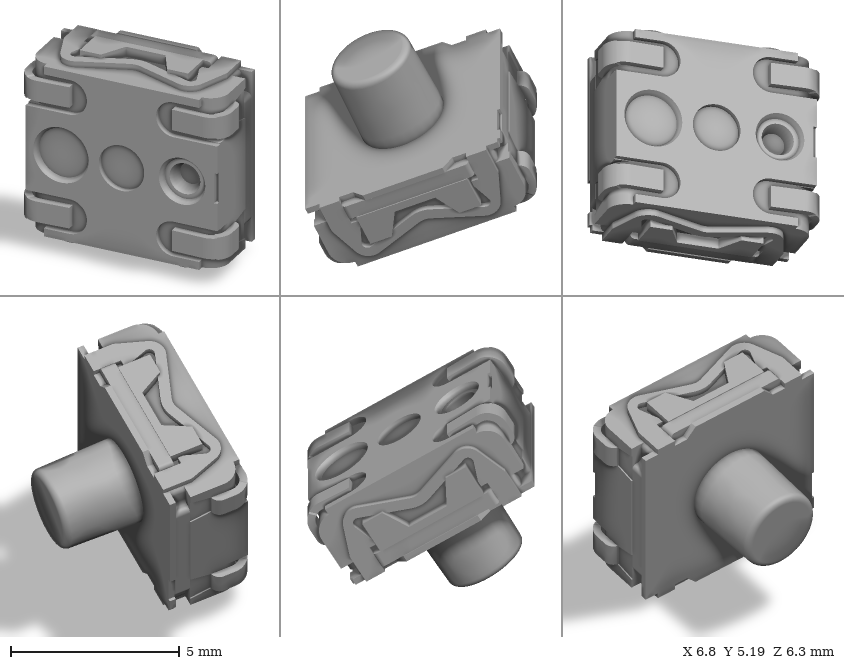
import cadquery as cq
import math


HALF_X = 3.16
HALF_Z = 2.815
STEP_Y = 1.9
DECK_Y = 2.37
DECK_HALF_X = 3.135
DECK_SHOULDER_HALF_X = 2.8
DECK_SIDE_HALF_Z = 2.13
DECK_BAR_HALF_X = 2.04
DECK_BAR_HALF_Z = 3.115
DECK_CORNER_RADIUS = 0.17
DECK_INNER_CORNER_RADIUS = 0.14
DECK_BAR_CORNER_RADIUS = 0.135

BOSS_HALF_X = 1.79
BOSS_HALF_Z = 3.15
BOSS_BACK_Y = 0.84
BOSS_NOTCH_Y = 1.645
BOSS_NOTCH_TOP_HALF_X = 0.65
BOSS_NOTCH_BASE_HALF_X = 1.095

POCKET_X = 2.0
LOCATING_DIAMETER = 1.83
LOCATING_FLOOR_DIAMETER = 1.62
CENTRE_DIAMETER = 1.5
STEPPED_DIAMETER = 1.54
STEPPED_FLOOR_DIAMETER = 1.32
CORE_DIAMETER = 1.01
CORE_FLOOR_DIAMETER = 0.715
POCKET_DEPTH = 0.2
CORE_DEPTH = 0.42

EDGE_NOTCH_HALF_Z = 0.495
EDGE_NOTCH_X = 3.06
EDGE_NOTCH_DEPTH = 0.205
EDGE_NOTCH_LIP = 0.1

TERMINAL_Z = 2.0
TERMINAL_WIDTH = 0.74
FOOT_WIDTH = 0.68
TERMINAL_THICKNESS = 0.24
TERMINAL_OUTER_X = 3.4
UPPER_BEND_RADIUS = 0.31
UPPER_BEND_Y = 0.91
LOWER_BEND_RADIUS = 0.63
LOWER_BEND_Y = 0.53
FOOT_END_X = 1.69
FOOT_TILT = 2.2
WIDTH_CHANGE_START = 0.07
WIDTH_CHANGE_END = 0.12
TAIL_END_X = 2.855

SEAT_DEPTH = 0.2
SEAT_CORNER_RADIUS = 0.6
SEAT_CORNER_INNER_Z = 1.43
SEAT_SLOT_INNER_Z = 1.4
SEAT_SLOT_OUTER_Z = 2.55
SEAT_SLOT_END_X = 1.14
RELIEF_DEPTH = 0.04
RELIEF_FRONT_HALF_WIDTH = 0.495
RELIEF_BACK_HALF_WIDTH = 0.375

SHEET = 0.2
COVER_Y = DECK_Y + SHEET
COVER_HALF_X = 3.15
TAB_HALF_X = 1.285
TAB_BASE_HALF_X = 1.605
COVER_NOTCH_DEPTH = 0.09
COVER_NOTCH_TOP_Z = -1.21
COVER_NOTCH_BOTTOM_Z = -2.225
COVER_CORNER_Z = -2.645

ARM_OUTER_X = 2.69
ARM_INNER_X = 2.055
ARM_OUTER_BEND_Y = 1.625
ARM_STEP_Y = 1.67
ARM_STEP_X = 1.835
ARM_INNER_BEND_Y = 1.49
ARM_ANGLE = 20.0
ARM_BACK_APEX_Y = 0.97
ARM_FRONT_APEX_Y = 1.325
ARM_CORNER_RADIUS = 0.5
ARM_INNER_CORNER_RADIUS = 0.17
ARM_CROWN_RADIUS = 0.545

PLUNGER_TIP_Y = 5.085
PLUNGER_BASE_RADIUS = 1.34
PLUNGER_TIP_RADIUS = 1.27
PLUNGER_EDGE_RADIUS = 0.2

COS_45 = math.sqrt(0.5)

CORNERS = [(-1, 1), (1, 1), (1, -1), (-1, -1)]


def at_corner(shape, side_x, side_z):
    """Reflect a shape built in the (-X, +Z) corner into another corner."""
    if side_x > 0:
        shape = shape.mirror("YZ")
    if side_z < 0:
        shape = shape.mirror("XY")
    return shape


def slab(half_x, half_z, y_start, y_end):
    """Block centred on the Y axis."""
    return (
        cq.Workplane("XZ", origin=(0, y_start, 0))
        .rect(2 * half_x, 2 * half_z)
        .extrude(y_start - y_end)
    )


def back_pocket(x, diameter, floor_diameter, y_start, depth):
    """Cutter for a round pocket that runs from y_start toward +Y."""
    return (
        cq.Workplane("XY")
        .moveTo(0, y_start)
        .lineTo(diameter / 2, y_start)
        .lineTo(floor_diameter / 2, y_start + depth)
        .lineTo(0, y_start + depth)
        .close()
        .revolve(360, (0, 0, 0), (0, 1, 0))
        .translate((x, 0, 0))
    )


def make_terminal():
    """Bent strip in the (-X, +Z) corner: tail, upper bend, side, lower bend and foot."""
    upper_x = -TERMINAL_OUTER_X + UPPER_BEND_RADIUS
    lower_x = -TERMINAL_OUTER_X + LOWER_BEND_RADIUS
    upper_inner = UPPER_BEND_RADIUS - TERMINAL_THICKNESS
    lower_inner = LOWER_BEND_RADIUS - TERMINAL_THICKNESS
    tilt = math.radians(FOOT_TILT)
    foot_back = (
        lower_x + LOWER_BEND_RADIUS * math.sin(tilt),
        LOWER_BEND_Y - LOWER_BEND_RADIUS * math.cos(tilt),
    )
    foot_front = (lower_x + lower_inner * math.sin(tilt), LOWER_BEND_Y - lower_inner * math.cos(tilt))
    foot_end_back_y = foot_back[1] + (-FOOT_END_X - foot_back[0]) * math.tan(tilt)
    foot_end_front_y = foot_front[1] + (-FOOT_END_X - foot_front[0]) * math.tan(tilt)
    inner_side_x = -TERMINAL_OUTER_X + TERMINAL_THICKNESS

    profile = (
        cq.Workplane("XY")
        .moveTo(-TAIL_END_X, UPPER_BEND_Y + UPPER_BEND_RADIUS)
        .lineTo(upper_x, UPPER_BEND_Y + UPPER_BEND_RADIUS)
        .threePointArc(
            (upper_x - COS_45 * UPPER_BEND_RADIUS, UPPER_BEND_Y + COS_45 * UPPER_BEND_RADIUS),
            (-TERMINAL_OUTER_X, UPPER_BEND_Y),
        )
        .lineTo(-TERMINAL_OUTER_X, LOWER_BEND_Y)
        .threePointArc(
            (lower_x - COS_45 * LOWER_BEND_RADIUS, LOWER_BEND_Y - COS_45 * LOWER_BEND_RADIUS),
            foot_back,
        )
        .lineTo(-FOOT_END_X, foot_end_back_y)
        .lineTo(-FOOT_END_X, foot_end_front_y)
        .lineTo(*foot_front)
        .threePointArc(
            (lower_x - COS_45 * lower_inner, LOWER_BEND_Y - COS_45 * lower_inner),
            (inner_side_x, LOWER_BEND_Y),
        )
        .lineTo(inner_side_x, UPPER_BEND_Y)
        .threePointArc(
            (upper_x - COS_45 * upper_inner, UPPER_BEND_Y + COS_45 * upper_inner),
            (upper_x, UPPER_BEND_Y + upper_inner),
        )
        .lineTo(-TAIL_END_X, UPPER_BEND_Y + upper_inner)
        .close()
    )
    strip = profile.extrude(TERMINAL_WIDTH / 2, both=True)

    reach = TERMINAL_OUTER_X
    edge_trim = (
        cq.Workplane("XZ")
        .moveTo(WIDTH_CHANGE_START, TERMINAL_WIDTH / 2)
        .lineTo(WIDTH_CHANGE_END, FOOT_WIDTH / 2)
        .lineTo(reach, FOOT_WIDTH / 2)
        .lineTo(reach, TERMINAL_WIDTH / 2)
        .close()
        .extrude(reach, both=True)
        .rotate((0, 0, 0), (0, 0, 1), -45)
        .translate((lower_x, LOWER_BEND_Y, 0))
    )
    strip = strip.cut(edge_trim).cut(edge_trim.mirror("XY"))
    return strip.translate((0, 0, TERMINAL_Z))


def make_terminal_seat():
    """Cutter in the (-X, +Z) corner: rounded corner, slot for the foot and side relief."""
    arc_x = -HALF_X + SEAT_CORNER_RADIUS
    arc_y = SEAT_DEPTH + SEAT_CORNER_RADIUS
    corner = (
        cq.Workplane("XY", origin=(0, 0, SEAT_CORNER_INNER_Z))
        .moveTo(-HALF_X, 0)
        .lineTo(arc_x, 0)
        .lineTo(arc_x, SEAT_DEPTH)
        .threePointArc(
            (arc_x - COS_45 * SEAT_CORNER_RADIUS, arc_y - COS_45 * SEAT_CORNER_RADIUS),
            (-HALF_X, arc_y),
        )
        .close()
        .extrude(HALF_Z - SEAT_CORNER_INNER_Z)
    )

    slot_radius = (SEAT_SLOT_OUTER_Z - SEAT_SLOT_INNER_Z) / 2
    slot_x = -SEAT_SLOT_END_X - slot_radius
    slot = (
        cq.Workplane("XZ")
        .moveTo(-HALF_X, SEAT_SLOT_INNER_Z)
        .lineTo(slot_x, SEAT_SLOT_INNER_Z)
        .threePointArc(
            (-SEAT_SLOT_END_X, SEAT_SLOT_INNER_Z + slot_radius),
            (slot_x, SEAT_SLOT_OUTER_Z),
        )
        .lineTo(-HALF_X, SEAT_SLOT_OUTER_Z)
        .close()
        .extrude(-SEAT_DEPTH)
    )

    relief_back_y = UPPER_BEND_Y + UPPER_BEND_RADIUS
    relief = (
        cq.Workplane("YZ", origin=(-HALF_X, 0, 0))
        .moveTo(STEP_Y, TERMINAL_Z - RELIEF_FRONT_HALF_WIDTH)
        .lineTo(STEP_Y, TERMINAL_Z + RELIEF_FRONT_HALF_WIDTH)
        .lineTo(relief_back_y, TERMINAL_Z + RELIEF_BACK_HALF_WIDTH)
        .lineTo(relief_back_y, TERMINAL_Z - RELIEF_BACK_HALF_WIDTH)
        .close()
        .extrude(RELIEF_DEPTH)
    )
    return corner.union(slot).union(relief)


def make_deck():
    """Stepped layer in front of the housing block, with rounded corners."""
    sides = slab(DECK_HALF_X, DECK_SIDE_HALF_Z, STEP_Y, DECK_Y)
    shoulders = slab(DECK_SHOULDER_HALF_X, HALF_Z, STEP_Y, DECK_Y)
    bar = slab(DECK_BAR_HALF_X, DECK_BAR_HALF_Z, STEP_Y, DECK_Y)
    sides = sides.edges("|Y").fillet(DECK_CORNER_RADIUS)
    shoulders = shoulders.edges("|Y").fillet(DECK_CORNER_RADIUS)
    cross = sides.union(shoulders)
    middle_y = (STEP_Y + DECK_Y) / 2
    for side_x, side_z in CORNERS:
        inner_corner = (side_x * DECK_SHOULDER_HALF_X, middle_y, side_z * DECK_SIDE_HALF_Z)
        edge = cq.selectors.NearestToPointSelector(inner_corner)
        cross = cross.edges("|Y").edges(edge).fillet(DECK_INNER_CORNER_RADIUS)
    return cross.union(bar.edges("|Y").fillet(DECK_BAR_CORNER_RADIUS))


def make_bosses():
    """Retaining bosses on both Z faces, each with a trapezoidal notch."""
    return (
        cq.Workplane("XY")
        .moveTo(-BOSS_HALF_X, STEP_Y)
        .lineTo(-BOSS_HALF_X, BOSS_BACK_Y)
        .lineTo(-BOSS_NOTCH_BASE_HALF_X, BOSS_BACK_Y)
        .lineTo(-BOSS_NOTCH_TOP_HALF_X, BOSS_NOTCH_Y)
        .lineTo(BOSS_NOTCH_TOP_HALF_X, BOSS_NOTCH_Y)
        .lineTo(BOSS_NOTCH_BASE_HALF_X, BOSS_BACK_Y)
        .lineTo(BOSS_HALF_X, BOSS_BACK_Y)
        .lineTo(BOSS_HALF_X, STEP_Y)
        .close()
        .extrude(BOSS_HALF_Z, both=True)
    )


def make_edge_notch():
    """Cutter for the notch with a sloping floor in the +X edge."""
    return (
        cq.Workplane("XY")
        .moveTo(EDGE_NOTCH_X, 0)
        .lineTo(HALF_X, 0)
        .lineTo(HALF_X, EDGE_NOTCH_LIP)
        .lineTo(EDGE_NOTCH_X, EDGE_NOTCH_DEPTH)
        .close()
        .extrude(EDGE_NOTCH_HALF_Z, both=True)
    )


def make_arm():
    """Spring arm on the +Z face: two legs joined by a bent bar with a crown in the middle."""
    slope = math.tan(math.radians(ARM_ANGLE))

    corner_x = (ARM_OUTER_X - slope * (ARM_OUTER_BEND_Y - ARM_BACK_APEX_Y)) / (1 + slope**2)
    corner_y = ARM_BACK_APEX_Y - slope * corner_x
    inner_corner_x = (ARM_STEP_X + slope * (ARM_INNER_BEND_Y - ARM_FRONT_APEX_Y)) / (1 - slope**2)
    inner_corner_y = ARM_FRONT_APEX_Y - slope * inner_corner_x

    right_edge = [
        (inner_corner_x, inner_corner_y),
        (ARM_STEP_X, ARM_INNER_BEND_Y),
        (ARM_STEP_X, ARM_STEP_Y),
        (ARM_INNER_X, ARM_STEP_Y),
        (ARM_INNER_X, COVER_Y),
        (ARM_OUTER_X, COVER_Y),
        (ARM_OUTER_X, ARM_OUTER_BEND_Y),
        (corner_x, corner_y),
    ]
    left_edge = [(-x, y) for x, y in reversed(right_edge)]
    outline = [(0, ARM_FRONT_APEX_Y), *right_edge, (0, ARM_BACK_APEX_Y), *left_edge]
    arm = cq.Workplane("XY", origin=(0, 0, HALF_Z)).polyline(outline).close().extrude(SHEET)

    middle_z = HALF_Z + SHEET / 2
    fillets = [
        (0, ARM_FRONT_APEX_Y, ARM_CROWN_RADIUS + ARM_FRONT_APEX_Y - ARM_BACK_APEX_Y),
        (0, ARM_BACK_APEX_Y, ARM_CROWN_RADIUS),
        (corner_x, corner_y, ARM_CORNER_RADIUS),
        (-corner_x, corner_y, ARM_CORNER_RADIUS),
        (inner_corner_x, inner_corner_y, ARM_INNER_CORNER_RADIUS),
        (-inner_corner_x, inner_corner_y, ARM_INNER_CORNER_RADIUS),
    ]
    for x, y, radius in fillets:
        corner = cq.selectors.NearestToPointSelector((x, y, middle_z))
        arm = arm.edges("|Z").edges(corner).fillet(radius)
    return arm


def make_cover(plunger):
    """Sheet plate with two edge tabs, two spring arms and a hole that fits the plunger."""
    notch_x = -COVER_HALF_X + COVER_NOTCH_DEPTH
    plate = (
        cq.Workplane("XZ", origin=(0, DECK_Y, 0))
        .moveTo(-COVER_HALF_X, HALF_Z)
        .lineTo(-TAB_BASE_HALF_X, HALF_Z)
        .lineTo(-TAB_HALF_X, BOSS_HALF_Z)
        .lineTo(TAB_HALF_X, BOSS_HALF_Z)
        .lineTo(TAB_BASE_HALF_X, HALF_Z)
        .lineTo(COVER_HALF_X, HALF_Z)
        .lineTo(COVER_HALF_X, -HALF_Z)
        .lineTo(TAB_BASE_HALF_X, -HALF_Z)
        .lineTo(TAB_HALF_X, -BOSS_HALF_Z)
        .lineTo(-TAB_HALF_X, -BOSS_HALF_Z)
        .lineTo(-TAB_BASE_HALF_X, -HALF_Z)
        .lineTo(notch_x, -HALF_Z)
        .lineTo(notch_x, COVER_CORNER_Z)
        .lineTo(-COVER_HALF_X, COVER_CORNER_Z)
        .lineTo(-COVER_HALF_X, COVER_NOTCH_BOTTOM_Z)
        .lineTo(notch_x, COVER_NOTCH_BOTTOM_Z)
        .lineTo(notch_x, COVER_NOTCH_TOP_Z)
        .lineTo(-COVER_HALF_X, COVER_NOTCH_TOP_Z)
        .close()
        .extrude(-SHEET)
    )
    arm = make_arm()
    return plate.union(arm).union(arm.mirror("XY")).cut(plunger)


def make_plunger():
    """Tapered round button with a rounded tip, standing on the deck."""
    return (
        cq.Workplane("XY")
        .moveTo(0, DECK_Y)
        .lineTo(PLUNGER_BASE_RADIUS, DECK_Y)
        .lineTo(PLUNGER_TIP_RADIUS, PLUNGER_TIP_Y)
        .lineTo(0, PLUNGER_TIP_Y)
        .close()
        .revolve(360, (0, 0, 0), (0, 1, 0))
        .faces(">Y")
        .edges()
        .fillet(PLUNGER_EDGE_RADIUS)
    )


def make_housing(cover, terminals):
    """Moulded housing with every pocket, and recesses for the parts that it holds."""
    body = slab(HALF_X, HALF_Z, 0, STEP_Y).union(make_deck()).union(make_bosses())
    body = body.cut(back_pocket(-POCKET_X, LOCATING_DIAMETER, LOCATING_FLOOR_DIAMETER, 0, POCKET_DEPTH))
    body = body.cut(back_pocket(0, CENTRE_DIAMETER, CENTRE_DIAMETER, 0, POCKET_DEPTH))
    body = body.cut(back_pocket(POCKET_X, STEPPED_DIAMETER, STEPPED_FLOOR_DIAMETER, 0, POCKET_DEPTH))
    body = body.cut(back_pocket(POCKET_X, CORE_DIAMETER, CORE_FLOOR_DIAMETER, POCKET_DEPTH, CORE_DEPTH))
    body = body.cut(make_edge_notch())
    for side_x, side_z in CORNERS:
        body = body.cut(at_corner(make_terminal_seat(), side_x, side_z))
    for terminal in terminals:
        body = body.cut(terminal)
    return body.cut(cover)


terminals = [at_corner(make_terminal(), side_x, side_z) for side_x, side_z in CORNERS]
plunger = make_plunger()
cover = make_cover(plunger)
housing = make_housing(cover, terminals)

result = cq.Compound.makeCompound(
    [housing.val(), cover.val(), plunger.val(), *[terminal.val() for terminal in terminals]]
)